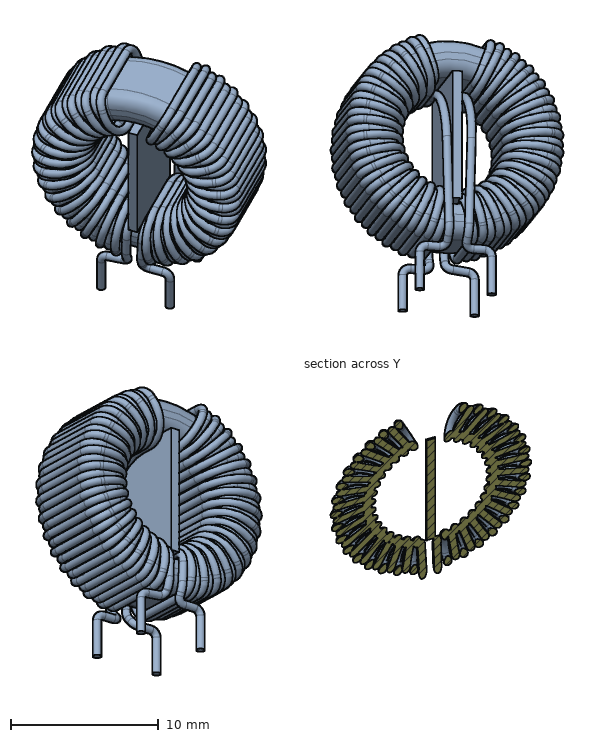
import cadquery as cq
import math

CORE_OUTER_RADIUS = 7.0
CORE_INNER_RADIUS = 4.5
CORE_WIDTH = 5.0
CORE_EDGE_FILLET = 1.0
CORE_JOINT_TOP = 19
CORE_JOINT_BOTTOM = 168.5

PLATE_THICKNESS = 0.65
PLATE_DEPTH = 6.0
PLATE_HEIGHT = 2 * CORE_INNER_RADIUS

WIRE_RADIUS = 0.3
WIRE_SEATING = 0.05
OUTER_RUN_RADIUS = CORE_OUTER_RADIUS + WIRE_RADIUS - WIRE_SEATING
LOWER_INNER_RADIUS = CORE_INNER_RADIUS - WIRE_RADIUS + WIRE_SEATING
LAYER_STEP = 0.5
UPPER_INNER_RADIUS = LOWER_INNER_RADIUS - LAYER_STEP
LOWER_FACE_Y = 3.0
UPPER_OUTER_Y = 2.96
UPPER_SLOPE = 18.5
UPPER_INNER_Y = UPPER_OUTER_Y + (OUTER_RUN_RADIUS - UPPER_INNER_RADIUS) * math.tan(math.radians(UPPER_SLOPE))
TURN_BEND = 1.0
RIM_JOINT_Y = LOWER_FACE_Y - TURN_BEND
UPPER_INNER_BEND = 2.0
SHORTEST_LINE = 1e-6

FIRST_ANGLE = 20
LAST_ANGLE = 170
ANGLE_STEP = 5

PIN_X = 2.5
PIN_Y = 2.5
PIN_BOTTOM_Z = -11.0
PIN_BEND = 0.5
FRONT_LEAD_KNEE_Z = -7.0
FRONT_LEAD_KNEE_BEND = 1.5
PIN_SHOULDER_Z = -8.0
BACK_LEAD_Y = 3.5
BACK_LEAD_TOP_BEND = 4.0
BACK_LEAD_BOTTOM_X = 0.68
BACK_LEAD_KNEE_Z = -6.87
BACK_LEAD_KNEE_BEND = 1.0
BACK_SHOULDER_Z = BACK_LEAD_KNEE_Z - (BACK_LEAD_Y - PIN_Y)

LEFT_LEAD_X = 0.5
LEFT_LEAD_INNER_ANGLE = 174
LEFT_SHOULDER_RISE = 0.2
LEFT_SHOULDER_Z = PIN_SHOULDER_Z + LEFT_SHOULDER_RISE
RIGHT_LEAD_X = 0.6
RIGHT_LEAD_INNER_ANGLE = 170
RIGHT_SHOULDER_Z = PIN_SHOULDER_Z


def bent_wire(points, bends):
    """Round wire along a polyline, each inner corner rounded to its bend radius."""
    corners = [cq.Vector(*point) for point in points]
    edges = []
    start = corners[0]
    for before, corner, after, bend in zip(corners, corners[1:], corners[2:], bends):
        arriving = (corner - before).normalized()
        leaving = (after - corner).normalized()
        half_turn = arriving.getAngle(leaving) / 2
        setback = bend * math.tan(half_turn)
        arc_start = corner - arriving * setback
        arc_end = corner + leaving * setback
        to_centre = (leaving - arriving).normalized()
        arc_middle = corner + to_centre * (bend / math.cos(half_turn) - bend)
        if (arc_start - start).Length > SHORTEST_LINE:
            edges.append(cq.Edge.makeLine(start, arc_start))
        edges.append(cq.Edge.makeThreePointArc(arc_start, arc_middle, arc_end))
        start = arc_end
    if (corners[-1] - start).Length > SHORTEST_LINE:
        edges.append(cq.Edge.makeLine(start, corners[-1]))
    path = cq.Workplane(cq.Wire.assembleEdges(edges))
    section = cq.Plane(origin=corners[0], normal=corners[1] - corners[0])
    return cq.Workplane(section).circle(WIRE_RADIUS).sweep(path).val()


def around_core(radius, angle, y):
    """Point of the left half at a radius and an angle from the top."""
    turn = math.radians(angle)
    return (-radius * math.sin(turn), y, radius * math.cos(turn))


def upper_piece():
    """Half turn in the upper layer, from the rim at the top over the front, bore and back to the rim."""
    end_angle = -ANGLE_STEP
    points = [
        around_core(OUTER_RUN_RADIUS, 0, RIM_JOINT_Y),
        around_core(OUTER_RUN_RADIUS, 0, -UPPER_OUTER_Y),
        around_core(UPPER_INNER_RADIUS, end_angle, -UPPER_INNER_Y),
        around_core(UPPER_INNER_RADIUS, end_angle, UPPER_INNER_Y),
        around_core(OUTER_RUN_RADIUS, end_angle, UPPER_OUTER_Y),
        around_core(OUTER_RUN_RADIUS, end_angle, -RIM_JOINT_Y),
    ]
    return bent_wire(points, [TURN_BEND, UPPER_INNER_BEND, UPPER_INNER_BEND, TURN_BEND])


def lower_piece():
    """Half turn in the lower layer, from the rim at the top over the front, bore and back to the rim."""
    end_angle = -ANGLE_STEP
    points = [
        around_core(OUTER_RUN_RADIUS, 0, -RIM_JOINT_Y),
        around_core(OUTER_RUN_RADIUS, 0, -LOWER_FACE_Y),
        around_core(LOWER_INNER_RADIUS, end_angle, -LOWER_FACE_Y),
        around_core(LOWER_INNER_RADIUS, end_angle, LOWER_FACE_Y),
        around_core(OUTER_RUN_RADIUS, end_angle, LOWER_FACE_Y),
        around_core(OUTER_RUN_RADIUS, end_angle, RIM_JOINT_Y),
    ]
    return bent_wire(points, [TURN_BEND] * 4)


def back_lead():
    """First turn: through the bore at the top, then down behind the core to the back pin."""
    inner_angle = FIRST_ANGLE - ANGLE_STEP
    points = [
        around_core(OUTER_RUN_RADIUS, FIRST_ANGLE, RIM_JOINT_Y),
        around_core(OUTER_RUN_RADIUS, FIRST_ANGLE, -UPPER_OUTER_Y),
        around_core(UPPER_INNER_RADIUS, inner_angle, -UPPER_INNER_Y),
        around_core(UPPER_INNER_RADIUS, inner_angle, BACK_LEAD_Y),
        (-BACK_LEAD_BOTTOM_X, BACK_LEAD_Y, BACK_LEAD_KNEE_Z),
        (-BACK_LEAD_BOTTOM_X, PIN_Y, BACK_SHOULDER_Z),
        (-PIN_X, PIN_Y, BACK_SHOULDER_Z),
        (-PIN_X, PIN_Y, PIN_BOTTOM_Z),
    ]
    bends = [TURN_BEND, UPPER_INNER_BEND, BACK_LEAD_TOP_BEND, BACK_LEAD_KNEE_BEND, PIN_BEND, PIN_BEND]
    return bent_wire(points, bends)


def front_lead(lead_x, inner_angle, shoulder_z):
    """Last turn: over the back, through the bore at the bottom, then down the front to the front pin."""
    points = [
        around_core(OUTER_RUN_RADIUS, LAST_ANGLE, RIM_JOINT_Y),
        around_core(OUTER_RUN_RADIUS, LAST_ANGLE, LOWER_FACE_Y),
        around_core(LOWER_INNER_RADIUS, inner_angle, LOWER_FACE_Y),
        around_core(LOWER_INNER_RADIUS, inner_angle, -LOWER_FACE_Y),
        (-lead_x, -LOWER_FACE_Y, FRONT_LEAD_KNEE_Z),
        (-lead_x, -PIN_Y, shoulder_z),
        (-PIN_X, -PIN_Y, PIN_SHOULDER_Z),
        (-PIN_X, -PIN_Y, PIN_BOTTOM_Z),
    ]
    bends = [TURN_BEND, TURN_BEND, TURN_BEND, FRONT_LEAD_KNEE_BEND, PIN_BEND, PIN_BEND]
    return bent_wire(points, bends)


def turned(piece, angle):
    """The piece turned about the core axis, from the top down the left side."""
    return piece.rotate((0, 0, 0), (0, 1, 0), -angle)


def left_winding():
    """All turns of the left winding with its back lead, without its front lead."""
    lower = lower_piece()
    upper = upper_piece()
    lower_angles = range(FIRST_ANGLE + ANGLE_STEP, LAST_ANGLE, 2 * ANGLE_STEP)
    lower_turns = [turned(lower, angle) for angle in lower_angles]
    upper_turns = [turned(upper, angle + ANGLE_STEP) for angle in lower_angles]
    return back_lead().fuse(*lower_turns, *upper_turns)


def core_sector(start_angle, end_angle):
    """Part of the core between two angles, which run from the top down the left side."""
    mean_radius = (CORE_OUTER_RADIUS + CORE_INNER_RADIUS) / 2
    profile = cq.Sketch().rect(CORE_OUTER_RADIUS - CORE_INNER_RADIUS, CORE_WIDTH)
    profile = profile.vertices().fillet(CORE_EDGE_FILLET)
    start_plane = cq.Plane(origin=around_core(mean_radius, start_angle, 0),
                           xDir=around_core(1, start_angle, 0),
                           normal=around_core(1, start_angle - 90, 0))
    section = cq.Workplane(start_plane).placeSketch(profile)
    sweep_angle = end_angle - start_angle
    return section.revolve(sweep_angle, (-mean_radius, 0, 0), (-mean_radius, 1, 0)).val()


def divider_plate():
    return cq.Workplane("XY").box(PLATE_THICKNESS, PLATE_DEPTH, PLATE_HEIGHT).val()


left = core_sector(CORE_JOINT_TOP, CORE_JOINT_BOTTOM).fuse(left_winding())
left_front_lead = front_lead(LEFT_LEAD_X, LEFT_LEAD_INNER_ANGLE, LEFT_SHOULDER_Z)
right = left.mirror("YZ")
right_front_lead = front_lead(RIGHT_LEAD_X, RIGHT_LEAD_INNER_ANGLE, RIGHT_SHOULDER_Z).mirror("YZ")
core_top = core_sector(-CORE_JOINT_TOP, CORE_JOINT_TOP)
core_bottom = core_sector(CORE_JOINT_BOTTOM, 360 - CORE_JOINT_BOTTOM)

body = left.fuse(right, core_top, core_bottom, divider_plate(), left_front_lead, right_front_lead)
result = cq.Workplane(body)